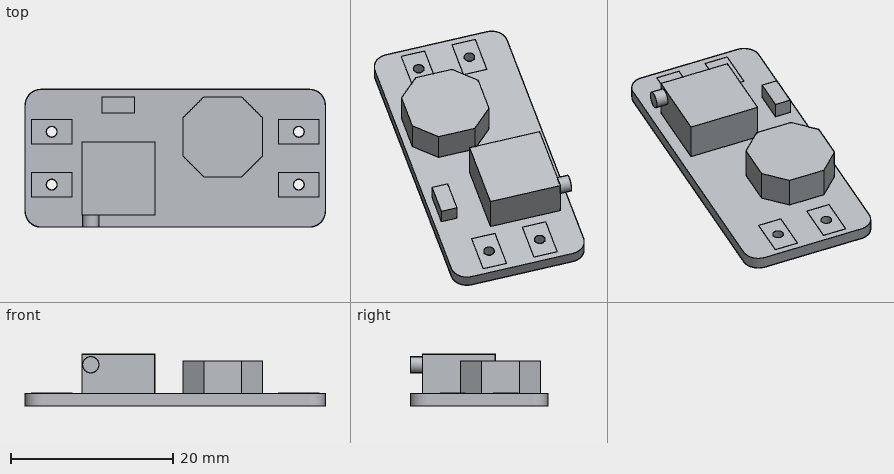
import cadquery as cq

board_length = 37.08
board_width = 17.02
board_thickness = 1.6
board_corner_radius = 2.0

pad_length = 5.0
pad_width = 3.0
pad_height = 0.01
pad_offset_x = 15.25
pad_offset_y = 3.25
pad_hole_diameter = 1.3

trimmer_side = 9.0
trimmer_height = 4.82
trimmer_x = -7.0
trimmer_y = -2.52
screw_diameter = 2.0
screw_x = -10.42
screw_z = 5.1

inductor_side = 9.85
inductor_height = 4.0
inductor_corner_cut = 2.6
inductor_x = 5.85
inductor_y = 2.65

chip_length = 4.0
chip_width = 2.0
chip_height = 2.0
chip_x = -7.05
chip_y = inductor_y + (inductor_side - chip_width) / 2


def block_on_board(length, width, height, x, y):
    """Box centred at (x, y), standing on the top face of the board."""
    return (
        cq.Workplane("XY", origin=(x, y, board_thickness))
        .box(length, width, height, centered=(True, True, False))
    )


def make_board():
    return (
        cq.Workplane("XY")
        .box(board_length, board_width, board_thickness, centered=(True, True, False))
        .edges("|Z")
        .fillet(board_corner_radius)
    )


def make_trimmer():
    body = block_on_board(trimmer_side, trimmer_side, trimmer_height, trimmer_x, trimmer_y)
    screw_length = trimmer_y + board_width / 2
    screw = (
        cq.Workplane("XZ", origin=(screw_x, trimmer_y, screw_z))
        .circle(screw_diameter / 2)
        .extrude(screw_length)
    )
    return body.union(screw)


def make_inductor():
    block = block_on_board(inductor_side, inductor_side, inductor_height, inductor_x, inductor_y)
    return block.edges("|Z").chamfer(inductor_corner_cut)


pad_centres = [(x, y) for x in (-pad_offset_x, pad_offset_x) for y in (-pad_offset_y, pad_offset_y)]

result = make_board()
for x, y in pad_centres:
    result = result.union(block_on_board(pad_length, pad_width, pad_height, x, y))

result = (
    result.union(make_trimmer())
    .union(make_inductor())
    .union(block_on_board(chip_length, chip_width, chip_height, chip_x, chip_y))
)

pad_holes = (
    cq.Workplane("XY")
    .pushPoints(pad_centres)
    .circle(pad_hole_diameter / 2)
    .extrude(board_thickness + pad_height)
)
result = result.cut(pad_holes)